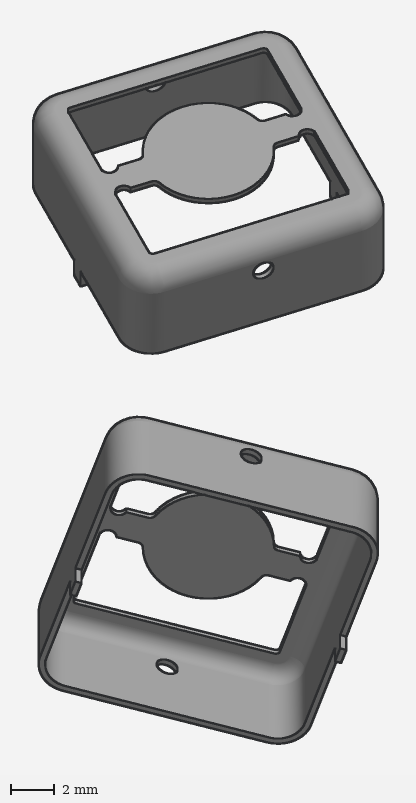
import cadquery as cq

side = 13.0
body_height = 5.0
sheet = 0.3
corner_radius = 1.6
top_bend_radius = 1.0

window_side = 9.9
window_corner_radius = 0.2
pad_diameter = 6.0
bridge_width = 1.5
pad_blend_radius = 0.3

relief_radius = 0.4
neck_width = 0.95

pin_width = 0.8
pin_length = 1.0
hole_diameter = 1.0
hole_depth_below_top = 1.6


def rounded_block(width, height, vertical_radius, top_radius):
    """Square block on Z = 0 with rounded vertical edges and a rounded top rim."""
    block = cq.Workplane("XY").rect(width, width).extrude(height)
    return block.edges("|Z").fillet(vertical_radius).faces(">Z").edges().fillet(top_radius)


def make_shell():
    """Outer block minus a cavity offset inward by the sheet thickness."""
    outer = rounded_block(side, body_height, corner_radius, top_bend_radius)
    cavity = rounded_block(
        side - 2 * sheet,
        body_height - sheet,
        corner_radius - sheet,
        top_bend_radius - sheet,
    )
    return outer.cut(cavity)


def make_window():
    """Square opening through the roof with small corner radii."""
    window = cq.Workplane("XY").workplane(offset=body_height - sheet)
    return window.rect(window_side, window_side).extrude(sheet).edges("|Z").fillet(window_corner_radius)


def make_bridge():
    """Round pad on a straight bridge that spans the window along Y."""
    roof_underside = cq.Workplane("XY").workplane(offset=body_height - sheet)
    pad = roof_underside.circle(pad_diameter / 2).extrude(sheet)
    strip = roof_underside.rect(bridge_width, window_side).extrude(sheet)
    pad_region = cq.selectors.BoxSelector(
        (-bridge_width, -pad_diameter / 2, 0),
        (bridge_width, pad_diameter / 2, body_height),
    )
    return pad.union(strip).edges("|Z").edges(pad_region).fillet(pad_blend_radius)


def make_reliefs():
    """Four round cuts, each touching the window edge beside a bridge end."""
    spacing_x = neck_width + 2 * relief_radius
    spacing_y = window_side - 2 * relief_radius
    return (
        cq.Workplane("XY")
        .workplane(offset=body_height - sheet)
        .rect(spacing_x, spacing_y, forConstruction=True)
        .vertices()
        .circle(relief_radius)
        .extrude(sheet)
    )


def make_pins():
    """Pins that continue the front and back walls downward."""
    pins = cq.Workplane("XY").pushPoints([(0, y * (side - sheet) / 2) for y in (-1, 1)])
    return pins.rect(pin_width, sheet).extrude(-pin_length)


def make_side_holes():
    """One round bore along X that pierces both side walls."""
    bore = cq.Workplane("YZ").center(0, body_height - hole_depth_below_top)
    return bore.circle(hole_diameter / 2).extrude(side / 2, both=True)


roof_opening = make_window().cut(make_bridge()).union(make_reliefs())
result = make_shell().cut(roof_opening).union(make_pins()).cut(make_side_holes())